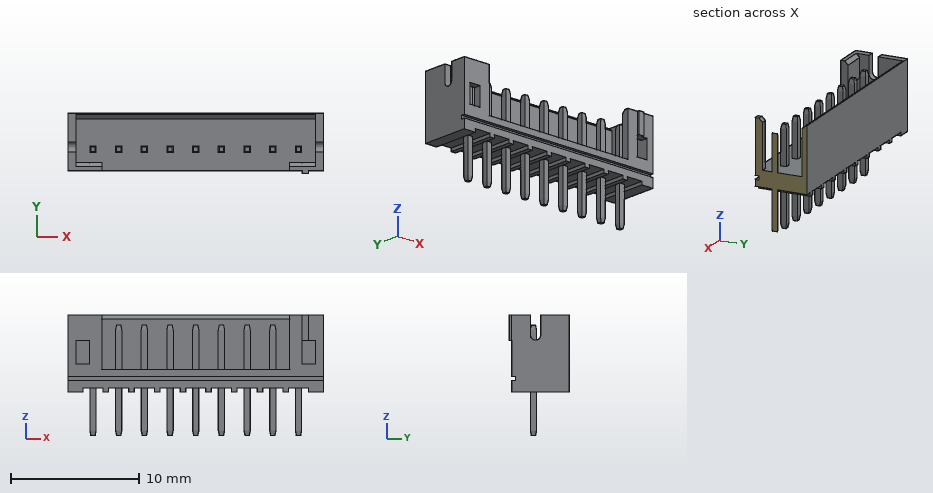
import cadquery as cq


pin_count = 9
pitch = 2.0
pin_width = 0.5
pin_y = 1.7
pin_bottom = -3.4
pin_top = 5.2
tip_length = 0.4
tip_width = 0.34

end_margin = 1.95
body_length = (pin_count - 1) * pitch + 2 * end_margin
body_depth = 4.5
body_height = 6.0
floor_height = 1.75
end_wall = 0.62
front_wall = 0.65
back_wall = 0.45
back_lip = 0.1
lead_in_height = 0.3
front_lead_in = 0.3

front_gap_margin = 2.65
window_width = 1.05
window_bottom = 2.2
window_top = 4.0
end_slot_width = 0.78
end_slot_front = 1.47
end_slot_depth = 1.95

groove_bottom = 0.9
groove_height = 0.3
groove_depth = 0.3
key_width = 0.5
key_depth = 0.2
foot_width = 0.45
foot_height = 0.3

pin_positions = [(i - (pin_count - 1) / 2) * pitch for i in range(pin_count)]
cavity_length = body_length - 2 * end_wall
half_cavity = cavity_length / 2
full_length = (-body_length / 2, body_length / 2)


def box(x_range, y_range, z_range):
    """Axis-aligned block between the given limits."""
    (x0, x1), (y0, y1), (z0, z1) = x_range, y_range, z_range
    return cq.Workplane("XY").box(x1 - x0, y1 - y0, z1 - z0, centered=False).translate((x0, y0, z0))


def make_cavity():
    """Mating cavity, flared toward the front and back at its mouth."""
    front = front_wall
    back = body_depth - back_wall
    flare_start = body_height - lead_in_height
    section = [
        (front, floor_height),
        (back, floor_height),
        (back, flare_start),
        (body_depth - back_lip, body_height),
        (front - front_lead_in, body_height),
        (front, flare_start),
    ]
    return cq.Workplane("YZ").polyline(section).close().extrude(half_cavity, both=True)


def make_front_gap():
    """Wide opening in the front wall, down to the cavity floor."""
    half_gap = body_length / 2 - front_gap_margin
    return box((-half_gap, half_gap), (0, body_depth / 2), (floor_height, body_height))


def make_window(side):
    """Latch window through the front wall, against one end wall (side is -1 or 1)."""
    x_limits = sorted([side * half_cavity, side * (half_cavity - window_width)])
    return box(x_limits, (0, front_wall), (window_bottom, window_top))


def make_end_slots():
    """Round-bottomed slots open at the top, through both end walls."""
    radius = end_slot_width / 2
    centre_y = end_slot_front + radius
    centre_z = body_height - end_slot_depth + radius
    slots = box(
        full_length,
        (end_slot_front, end_slot_front + end_slot_width),
        (centre_z, body_height),
    )
    rounds = (
        cq.Workplane("YZ")
        .center(centre_y, centre_z)
        .circle(radius)
        .extrude(body_length / 2, both=True)
    )
    return slots.union(rounds)


def make_groove():
    """Groove along the front face, open at both ends."""
    return box(full_length, (0, groove_depth), (groove_bottom, groove_bottom + groove_height))


def make_underside_channel(x):
    """Channel under one contact; what remains between channels forms the feet."""
    half_width = (pitch - foot_width) / 2
    return box((x - half_width, x + half_width), (0, body_depth), (0, foot_height))


def make_key():
    """Polarising rib on the front face, above the right-hand window."""
    x_start = half_cavity - window_width
    root_y = front_wall - front_lead_in
    return box((x_start, x_start + key_width), (-key_depth, root_y), (window_top, body_height))


def make_tip(z, direction):
    """Tapered end of a contact starting at height z; direction is -1 (down) or 1 (up)."""
    return (
        cq.Workplane("XY", origin=(0, pin_y, z))
        .rect(pin_width, pin_width)
        .workplane(offset=direction * tip_length)
        .rect(tip_width, tip_width)
        .loft(ruled=True)
    )


def make_pin():
    """Square contact with tapered ends, at X = 0."""
    half = pin_width / 2
    lower = pin_bottom + tip_length
    upper = pin_top - tip_length
    shank = box((-half, half), (pin_y - half, pin_y + half), (lower, upper))
    return shank.union(make_tip(upper, 1)).union(make_tip(lower, -1))


def make_housing():
    """Open-fronted shroud with feet, windows, end slots, groove and key."""
    body = box(full_length, (0, body_depth), (0, body_height))
    body = body.cut(make_cavity()).cut(make_front_gap())
    body = body.cut(make_end_slots()).cut(make_groove())
    for side in (-1, 1):
        body = body.cut(make_window(side))
    for x in pin_positions:
        body = body.cut(make_underside_channel(x))
    return body.union(make_key())


result = make_housing()
pin = make_pin()
for pin_x in pin_positions:
    result = result.union(pin.translate((pin_x, 0, 0)))